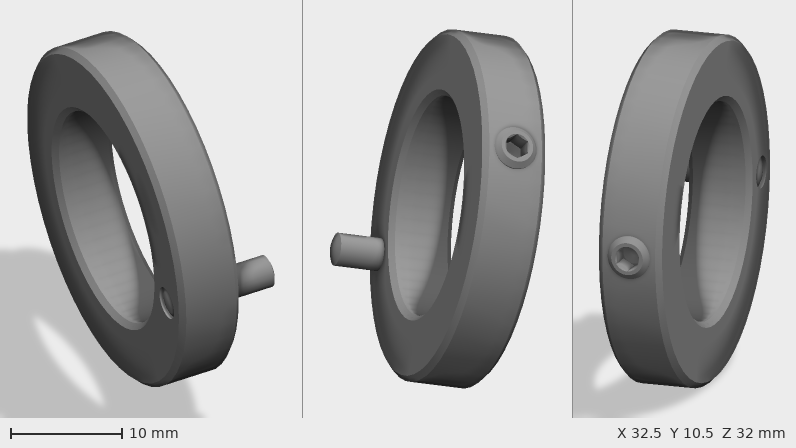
import cadquery as cq
import math

RING_OUTER_DIAMETER = 32.0
RING_BORE_DIAMETER = 20.0
RING_WIDTH = 6.0
RING_CHAMFER = 0.5

PIN_DIAMETER = 3.0
PIN_PROTRUSION = 4.5
PIN_OFFSET = (RING_OUTER_DIAMETER + RING_BORE_DIAMETER) / 4
DOME_RADIUS = PIN_DIAMETER
DOME_HEIGHT = DOME_RADIUS - math.sqrt(DOME_RADIUS**2 - (PIN_DIAMETER / 2) ** 2)

BOSS_DIAMETER = 4.0
BOSS_PROTRUSION = 0.5
BOSS_CHAMFER = 0.5
BOSS_ROOT_DEPTH = 1.0
SOCKET_WIDTH = 2.0
SOCKET_DEPTH = 2.0
SOCKET_CORNER_DIAMETER = SOCKET_WIDTH / math.cos(math.radians(30))
SOCKET_CONE_ANGLE = 20
SOCKET_CONE_DEPTH = SOCKET_WIDTH / 2 * math.tan(math.radians(SOCKET_CONE_ANGLE))
LEAD_IN_CONE_DEPTH = SOCKET_CORNER_DIAMETER / 2

RING_MIDDLE = RING_WIDTH / 2
BOSS_FACE_X = -RING_OUTER_DIAMETER / 2 - BOSS_PROTRUSION


def boss_plane():
    """Plane on the boss end face, with its normal pointing into the ring (+X)."""
    return cq.Plane(origin=(BOSS_FACE_X, RING_MIDDLE, 0), xDir=(0, 0, 1), normal=(1, 0, 0))


def make_cone(base_diameter, height, depth):
    """Cone about the boss axis, its base at the given depth and its tip further into the ring."""
    plane = boss_plane()
    base_center = plane.toWorldCoords((0, 0, depth))
    cone = cq.Solid.makeCone(base_diameter / 2, 0, height, base_center, plane.zDir)
    return cq.Workplane(cone)


def make_boss():
    """Round boss with a chamfered outer end."""
    length = BOSS_PROTRUSION + BOSS_ROOT_DEPTH
    boss = cq.Workplane(boss_plane()).circle(BOSS_DIAMETER / 2).extrude(length)
    return boss.faces("<X").chamfer(BOSS_CHAMFER)


def make_socket():
    """Hexagon socket with two corners on Z, a conical lead-in and a conical floor."""
    hexagon = cq.Workplane(boss_plane()).polygon(6, SOCKET_CORNER_DIAMETER).extrude(SOCKET_DEPTH)
    lead_in = make_cone(SOCKET_CORNER_DIAMETER, LEAD_IN_CONE_DEPTH, 0)
    floor = make_cone(SOCKET_WIDTH, SOCKET_CONE_DEPTH, SOCKET_DEPTH)
    return hexagon.union(lead_in).union(floor)


def make_ring():
    """Chamfered ring with the socketed boss and the through hole for the pin."""
    ring = (
        cq.Workplane("XZ")
        .circle(RING_OUTER_DIAMETER / 2)
        .circle(RING_BORE_DIAMETER / 2)
        .extrude(-RING_WIDTH)
        .edges()
        .chamfer(RING_CHAMFER)
    )
    pin_hole = cq.Workplane("XZ").center(PIN_OFFSET, 0).circle(PIN_DIAMETER / 2).extrude(-RING_WIDTH)
    return ring.union(make_boss()).cut(make_socket()).cut(pin_hole)


def make_pin():
    """Cylindrical pin with a shallow spherical dome on both ends, revolved about its own axis."""
    front_tip = 0
    rear_tip = RING_WIDTH + PIN_PROTRUSION
    edge_radius = PIN_DIAMETER / 2
    mid_radius = edge_radius / 2
    mid_drop = DOME_RADIUS - math.sqrt(DOME_RADIUS**2 - mid_radius**2)
    profile = (
        cq.Workplane("XY")
        .moveTo(0, front_tip)
        .threePointArc((mid_radius, front_tip + mid_drop), (edge_radius, front_tip + DOME_HEIGHT))
        .lineTo(edge_radius, rear_tip - DOME_HEIGHT)
        .threePointArc((mid_radius, rear_tip - mid_drop), (0, rear_tip))
        .close()
    )
    return profile.revolve(360, (0, 0, 0), (0, 1, 0)).translate((PIN_OFFSET, 0, 0))


ring = make_ring()
pin = make_pin()

result = cq.Compound.makeCompound([ring.val(), pin.val()])